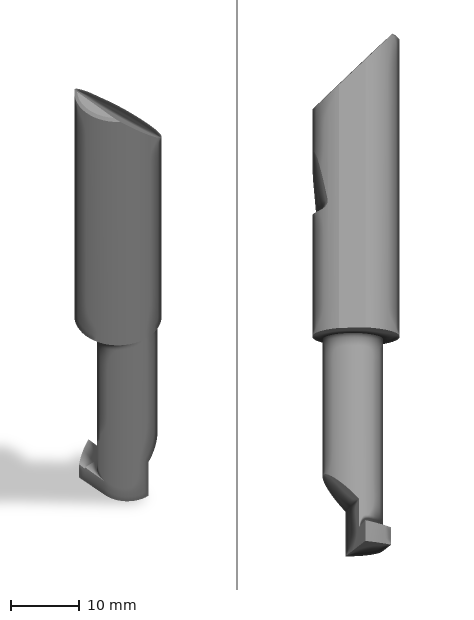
import cadquery as cq
import math

SHANK_DIAMETER = 12.7
SHANK_RADIUS = SHANK_DIAMETER / 2
TOTAL_LENGTH = 76.2
SHOULDER_Z = 31.75
CLEARANCE = 5.0
RAKE_Y = 0.1

TOP_FLAT_Y = -4.5
TOP_CHAMFER = 0.4
SIDE_FLAT_END_Y = 3.75
NOTCH_BOTTOM_Z = 49.7
NOTCH_TOP_Z = 58.9
NOTCH_DEPTH = 1.45
NOTCH_CORNER_RADIUS = 1.2

NECK_DIAMETER = 8.8
NECK_RADIUS = NECK_DIAMETER / 2
NECK_X = SHANK_RADIUS - NECK_RADIUS
RAKE_RUNOUT_Z = 7.1

TOOTH_TIP_X = -SHANK_RADIUS
TOOTH_WIDTH = 3.1
TOOTH_HEEL_X = -3.6
FLANK_RADIUS = 20.0
TOOTH_BASE_X = -2.3
SIDE_RELIEF = 2.0
FRONT_RELIEF = 2.0


def side_prism(profile):
    """Extrude a closed YZ profile through the full width of the part."""
    return profile.extrude(SHANK_RADIUS + CLEARANCE, both=True)


def make_shank():
    shank = (
        cq.Workplane("XY")
        .workplane(offset=SHOULDER_Z)
        .circle(SHANK_RADIUS)
        .extrude(TOTAL_LENGTH - SHOULDER_Z)
        .faces(">Z")
        .chamfer(TOP_CHAMFER)
    )
    return shank.cut(side_flat_cutter()).cut(slope_cutter()).cut(notch_cutter())


def side_flat_cutter():
    """Remove the circle segment outside a chord on the -X side."""
    chord_start_x = -math.sqrt(SHANK_RADIUS**2 - RAKE_Y**2)
    chord_end_x = -math.sqrt(SHANK_RADIUS**2 - SIDE_FLAT_END_Y**2)
    return (
        cq.Workplane("XY")
        .workplane(offset=SHOULDER_Z)
        .moveTo(chord_start_x, RAKE_Y)
        .lineTo(chord_end_x, SIDE_FLAT_END_Y)
        .lineTo(-SHANK_RADIUS, SIDE_FLAT_END_Y)
        .lineTo(-SHANK_RADIUS, RAKE_Y)
        .close()
        .extrude(TOTAL_LENGTH - SHOULDER_Z)
    )


def slope_cutter():
    """45 degree slope falling from the top face towards +Y."""
    reach = SHANK_RADIUS + CLEARANCE - TOP_FLAT_Y
    return side_prism(
        cq.Workplane("YZ")
        .moveTo(TOP_FLAT_Y, TOTAL_LENGTH)
        .lineTo(TOP_FLAT_Y + reach, TOTAL_LENGTH - reach)
        .lineTo(TOP_FLAT_Y + reach, TOTAL_LENGTH)
        .close()
    )


def notch_cutter():
    """Clamping notch on the +Y side: square at the bottom, tapering out at the top."""
    floor_y = SHANK_RADIUS - NOTCH_DEPTH
    taper = NOTCH_DEPTH / (NOTCH_TOP_Z - NOTCH_BOTTOM_Z)
    outer_y = SHANK_RADIUS + CLEARANCE
    notch = side_prism(
        cq.Workplane("YZ")
        .moveTo(outer_y, NOTCH_BOTTOM_Z)
        .lineTo(floor_y, NOTCH_BOTTOM_Z)
        .lineTo(outer_y, NOTCH_BOTTOM_Z + (outer_y - floor_y) / taper)
        .close()
    )
    return notch.edges("|X").edges("<Y").fillet(NOTCH_CORNER_RADIUS)


def make_neck():
    neck = cq.Workplane("XY").center(NECK_X, 0).circle(NECK_RADIUS).extrude(SHOULDER_Z)
    return neck.cut(rake_cutter())


def rake_cutter():
    """Cut the lower neck down to the rake face, with a 45 degree runout."""
    reach = NECK_RADIUS + CLEARANCE
    return side_prism(
        cq.Workplane("YZ")
        .moveTo(RAKE_Y, -CLEARANCE)
        .lineTo(RAKE_Y + reach, -CLEARANCE)
        .lineTo(RAKE_Y + reach, RAKE_RUNOUT_Z + reach)
        .lineTo(RAKE_Y, RAKE_RUNOUT_Z)
        .close()
    )


def make_tooth():
    """Tooth beside the neck, from the rake face to the plane tangent to the neck."""
    tooth = (
        cq.Workplane("XY")
        .moveTo(NECK_X, RAKE_Y)
        .lineTo(TOOTH_TIP_X, RAKE_Y)
        .radiusArc((TOOTH_HEEL_X, -NECK_RADIUS), -FLANK_RADIUS)
        .lineTo(NECK_X, -NECK_RADIUS)
        .close()
        .extrude(TOOTH_WIDTH)
    )
    upper_relief = relief_cutter(TOOTH_BASE_X, 1).translate((0, 0, TOOTH_WIDTH))
    return tooth.cut(upper_relief)


def relief_cutter(end_x, side):
    """Block whose inner face tilts into the tooth from its tip; side is +1 up, -1 down."""
    start_x = TOOTH_TIP_X - CLEARANCE
    start_y = RAKE_Y + CLEARANCE
    end_y = -NECK_RADIUS - CLEARANCE
    outline = [(start_x, start_y), (end_x, start_y), (end_x, end_y), (start_x, end_y)]

    def face_through(points):
        return cq.Face.makeFromWires(cq.Wire.makePolygon(points, close=True))

    inner = [cq.Vector(x, y, -side * relief_depth(x, y)) for x, y in outline]
    outer = [cq.Vector(x, y, side * CLEARANCE) for x, y in outline]
    faces = [face_through(inner), face_through(outer)]
    for i in range(len(outline)):
        faces.append(face_through([inner[i - 1], inner[i], outer[i], outer[i - 1]]))
    return cq.Workplane(cq.Solid.makeSolid(cq.Shell.makeShell(faces)))


def relief_depth(x, y):
    """Depth of the relief plane below the cutting tip at a point in plan."""
    side_drop = (x - TOOTH_TIP_X) * math.tan(math.radians(SIDE_RELIEF))
    front_drop = (RAKE_Y - y) * math.tan(math.radians(FRONT_RELIEF))
    return side_drop + front_drop


lower_relief = relief_cutter(SHANK_RADIUS + CLEARANCE, -1)
result = make_shank().union(make_neck()).union(make_tooth()).cut(lower_relief)